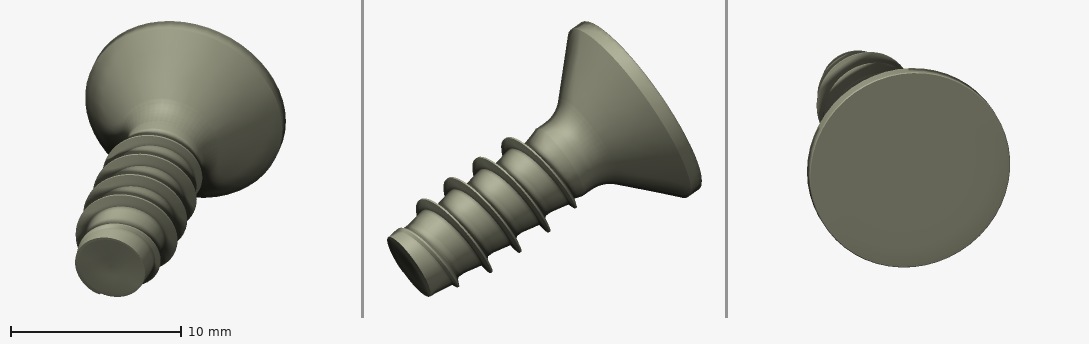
import cadquery as cq
import math

length = 17.0
head_radius = 6.0
head_edge_chamfer = 0.05
rim_depth = 0.85
head_half_angle = 45.0
neck_radius = 2.4
neck_fillet_radius = 2.21
neck_end_depth = 5.98
core_radius = 2.1
core_start_depth = 6.94
tip_radius = 2.07
tip_taper_length = 0.25
tip_dish_radius = 1.99
tip_dish_depth = 0.14

pitch = 2.12
crest_radius = 3.01
crest_half_width = 0.05
lead_in_crest_radius = 2.53
lead_in_start_depth = 5.8
lead_in_angle = 180.0
lead_in_turns = 1.0
full_turns = 2.8
run_out_turns = 1.4
head_side_root_radius = 2.26
tip_side_root_radius = 2.33
foot_radius = core_radius - 0.02
run_out_radius = core_radius - 0.008
run_out_tip_side_radius = 2.21
buried_radius = 1.87

head_side_foot = -0.39
head_side_root = -0.24
tip_side_root = 0.22
tip_side_foot = 1.43


def make_body():
    """Revolved head, neck and core."""
    half_cone = math.radians(head_half_angle)
    fillet_start_radius = neck_radius + neck_fillet_radius * (1 - math.cos(half_cone))
    fillet_start_depth = rim_depth + (head_radius - fillet_start_radius) / math.tan(half_cone)
    fillet_end_depth = fillet_start_depth + neck_fillet_radius * math.sin(half_cone)
    half_arc = half_cone / 2
    fillet_middle = (
        neck_radius + neck_fillet_radius * (1 - math.cos(half_arc)),
        fillet_end_depth - neck_fillet_radius * math.sin(half_arc),
    )
    return (
        cq.Workplane("XZ")
        .moveTo(0, 0)
        .lineTo(head_radius - head_edge_chamfer, 0)
        .lineTo(head_radius, head_edge_chamfer)
        .lineTo(head_radius, rim_depth)
        .lineTo(fillet_start_radius, fillet_start_depth)
        .threePointArc(fillet_middle, (neck_radius, fillet_end_depth))
        .lineTo(neck_radius, neck_end_depth)
        .lineTo(core_radius, core_start_depth)
        .lineTo(core_radius, length - tip_taper_length)
        .lineTo(tip_radius, length)
        .lineTo(0, length)
        .close()
        .revolve(360, (0, 0, 0), (0, 1, 0))
    )


def thread_profile(crest, head_root, tip_root):
    """Closed section as (radius, axial offset) points."""
    return [
        (buried_radius, head_side_foot),
        (foot_radius, head_side_foot),
        (head_root, head_side_root),
        (crest, -crest_half_width),
        (crest, crest_half_width),
        (tip_root, tip_side_root),
        (foot_radius, tip_side_foot),
        (buried_radius, tip_side_foot),
    ]


def helix_edge(start_radius, end_radius, start_depth, turns, start_angle, narrows):
    """Right-hand helix whose radius changes evenly from start to end."""
    height = pitch * turns
    slope = math.atan2(abs(end_radius - start_radius), height)
    cone_angle = math.degrees(slope) if slope > 0 else 360
    helix = cq.Wire.makeHelix(
        pitch / math.cos(slope),
        height / math.cos(slope),
        min(start_radius, end_radius),
        angle=cone_angle,
    )
    axis_start = cq.Vector(0, 0, 0)
    axis_end = cq.Vector(0, 0, 1)
    if narrows:
        helix = helix.rotate(axis_start, cq.Vector(1, 0, 0), 180)
        start_depth += height
        start_angle += 360 * turns
    placed = helix.rotate(axis_start, axis_end, start_angle)
    return placed.translate(cq.Vector(0, 0, start_depth)).Edges()[0]


def end_cap(profile, depth, angle):
    """Flat face across the thread section at one end."""
    turn = math.radians(angle)
    points = [
        cq.Vector(radius * math.cos(turn), radius * math.sin(turn), depth + offset)
        for radius, offset in profile
    ]
    return cq.Face.makeFromWires(cq.Wire.makePolygon(points, close=True))


def make_thread():
    """Thread with a rising lead-in, a full-height stretch and a run-out."""
    full = thread_profile(crest_radius, head_side_root_radius, tip_side_root_radius)
    lead_in = thread_profile(
        lead_in_crest_radius, head_side_root_radius, tip_side_root_radius
    )
    run_out = thread_profile(run_out_radius, run_out_radius, run_out_tip_side_radius)
    stretches = [
        (lead_in, full, lead_in_turns),
        (full, full, full_turns),
        (full, run_out, run_out_turns),
    ]
    depth = lead_in_start_depth
    angle = lead_in_angle
    faces = [end_cap(lead_in, depth, angle)]
    for start, end, turns in stretches:
        narrows = sum(radius for radius, _ in end) < sum(radius for radius, _ in start)
        edges = [
            helix_edge(start_radius, end_radius, depth + offset, turns, angle, narrows)
            for (start_radius, offset), (end_radius, _) in zip(start, end)
        ]
        for edge, next_edge in zip(edges, edges[1:] + edges[:1]):
            faces.append(cq.Face.makeRuledSurface(edge, next_edge))
        depth += pitch * turns
        angle += 360 * turns
    faces.append(end_cap(run_out, depth, angle))
    return cq.Workplane(cq.Solid.makeSolid(cq.Shell.makeShell(faces)))


def make_tip_cutter():
    """Removes thread beyond the tip and hollows the shallow dish."""
    return (
        cq.Workplane("XZ")
        .moveTo(0, length - tip_dish_depth)
        .lineTo(tip_dish_radius, length)
        .lineTo(2 * crest_radius, length)
        .lineTo(2 * crest_radius, length + 2 * pitch)
        .lineTo(0, length + 2 * pitch)
        .close()
        .revolve(360, (0, 0, 0), (0, 1, 0))
    )


screw = make_body().union(make_thread()).cut(make_tip_cutter())
result = screw.rotate((0, 0, 0), (1, 0, 0), 90)